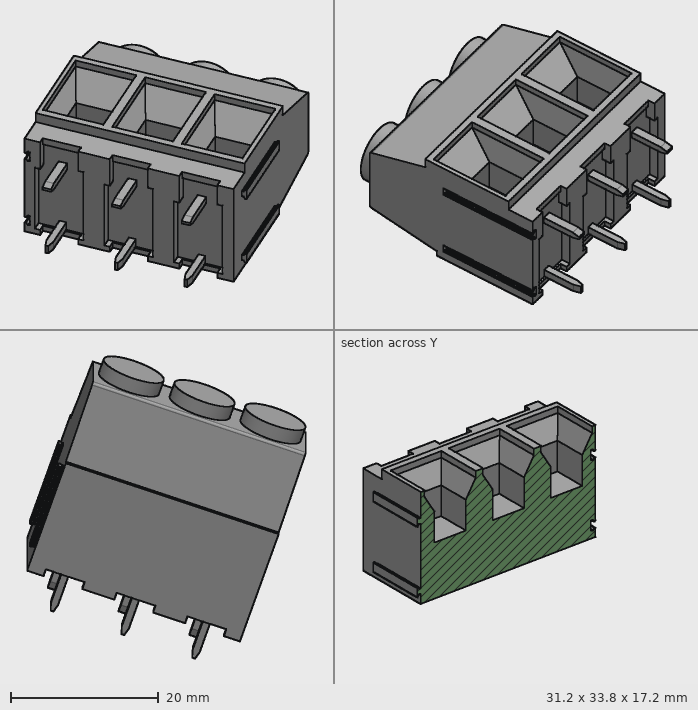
import cadquery as cq

pole_count = 3
pitch = 10.15
first_pole = 5.07
length = 30.5
body_depth = 27.25
total_height = 17.25
pole_centres = [first_pole + i * pitch for i in range(pole_count)]

shoulder_height = 15.72
turret_front = 4.02
turret_back = 17.95
foot_height = 0.85
foot_back = 16.02
nose_bottom = 2.8
nose_top = 13.15
nose_round = 0.45

boss_diameter = 8.65
boss_height = 8.1
boss_length = 2.03

funnel_width = 8.85
funnel_front = 5.05
funnel_back = 17.0
throat_width = 5.4
throat_front = 7.1
throat_back = 12.85
rim_depth = 1.0
taper_depth = 2.8
throat_depth = 4.73

channel_width = 5.55
channel_depth = 1.0
pocket_depth = 1.35
pocket_bottom = 0.88
pocket_top = 14.67
wide_half_left = 3.55
wide_half_right = 3.5
wide_top_left = 11.2
wide_top_right = 12.45

pin_thickness = 1.0
pin_width = 1.25
pin_reach = 4.53
pin_taper_length = 1.08
pin_tip_thickness = 0.4
lower_pin_height = 1.52
upper_pin_height = 11.65

rail_heights = (2.0, 12.8)
rail_front = 3.05
rail_back = 14.97
rail_neck = 0.88
rail_head = 1.6
rail_length = 0.68
neck_length = 0.25
head_peak = 0.5
head_bevel = 0.07
groove_depth = 0.78
groove_mouth_chamfer = 0.15


def block(x_min, x_max, y_min, y_max, z_min, z_max):
    """Box given by its limits along each axis."""
    size = (x_max - x_min, y_max - y_min, z_max - z_min)
    return cq.Workplane("XY").box(*size, centered=False).translate((x_min, y_min, z_min))


def make_housing():
    """Side profile drawn in YZ and extruded along the row of poles."""
    profile = [
        (0, 0),
        (foot_back, 0),
        (foot_back, foot_height),
        (body_depth, nose_bottom),
        (body_depth, nose_top),
        (turret_back, shoulder_height),
        (turret_back, total_height),
        (turret_front, total_height),
        (turret_front, shoulder_height),
        (0, shoulder_height),
    ]
    housing = cq.Workplane("YZ").polyline(profile).close().extrude(length)
    return housing.faces(">Y").edges("|X").fillet(nose_round)


def make_boss(x):
    """Round screw boss standing on the back face."""
    back_face = cq.Workplane("XZ", origin=(x, body_depth, boss_height))
    return back_face.circle(boss_diameter / 2).extrude(-boss_length)


def make_funnel(x):
    """Wire entry: rim and throat are straight, joined by an off-centre taper."""
    taper_top = total_height - rim_depth
    taper_bottom = taper_top - taper_depth
    funnel_y = (funnel_front + funnel_back) / 2
    throat_y = (throat_front + throat_back) / 2
    rim = block(
        x - funnel_width / 2, x + funnel_width / 2,
        funnel_front, funnel_back, taper_top, total_height,
    )
    taper = (
        cq.Workplane("XY", origin=(x, funnel_y, taper_top))
        .rect(funnel_width, funnel_back - funnel_front)
        .workplane(offset=-taper_depth)
        .center(0, throat_y - funnel_y)
        .rect(throat_width, throat_back - throat_front)
        .loft(ruled=True)
    )
    throat = block(
        x - throat_width / 2, x + throat_width / 2,
        throat_front, throat_back, taper_bottom - throat_depth, taper_bottom,
    )
    return rim.union(taper).union(throat)


def make_recess(x):
    """Full-height channel with a deeper pocket that widens unevenly lower down."""
    channel_left = x - channel_width / 2
    channel_right = x + channel_width / 2
    channel = block(channel_left, channel_right, 0, channel_depth, 0, shoulder_height)
    middle = block(channel_left, channel_right, 0, pocket_depth, pocket_bottom, pocket_top)
    left = block(x - wide_half_left, x, 0, pocket_depth, pocket_bottom, wide_top_left)
    right = block(x, x + wide_half_right, 0, pocket_depth, pocket_bottom, wide_top_right)
    return channel.union(middle).union(left).union(right)


def make_pin():
    """Pin along -Y centred on the Y axis, with its thin side along Z narrowing to the tip."""
    taper_start = pin_taper_length - pin_reach
    half = pin_thickness / 2
    half_tip = pin_tip_thickness / 2
    outline = [
        (pocket_depth, -half),
        (taper_start, -half),
        (-pin_reach, -half_tip),
        (-pin_reach, half_tip),
        (taper_start, half),
        (pocket_depth, half),
    ]
    return cq.Workplane("YZ").polyline(outline).close().extrude(pin_width / 2, both=True)


def make_bar(upper, y_min, y_max, x, z):
    """Bar along Y; its XZ section is the upper outline mirrored about the height z."""
    lower = [(px, -pz) for px, pz in reversed(upper)]
    section = cq.Workplane("XZ", origin=(x, y_min, z)).polyline(upper + lower).close()
    return section.extrude(y_min - y_max)


def make_dovetail(depth, y_min, y_max, x, z):
    """Neck starting at x that flares towards +X into a bevelled head."""
    neck = rail_neck / 2
    head = rail_head / 2
    upper = [(0, neck), (neck_length, neck), (head_peak, head), (depth, head - head_bevel)]
    return make_bar(upper, y_min, y_max, x, z)


def make_groove(z):
    """Dovetail groove in the -X side, open at the pin-side face, with a chamfered mouth."""
    neck = rail_neck / 2
    mouth = [(0, neck + groove_mouth_chamfer), (groove_mouth_chamfer, neck)]
    groove = make_dovetail(groove_depth, 0, rail_back, 0, z)
    return groove.union(make_bar(mouth, 0, rail_back, 0, z))


result = make_housing()
for centre in pole_centres:
    result = result.union(make_boss(centre))
    result = result.cut(make_funnel(centre))
    result = result.cut(make_recess(centre))

    upper_pin = make_pin().translate((centre, 0, upper_pin_height))
    lower_pin = make_pin().rotate((0, 0, 0), (0, 1, 0), 90).translate((centre, 0, lower_pin_height))
    result = result.union(upper_pin).union(lower_pin)

for height in rail_heights:
    result = result.cut(make_groove(height))
    result = result.union(make_dovetail(rail_length, rail_front, rail_back, length, height))